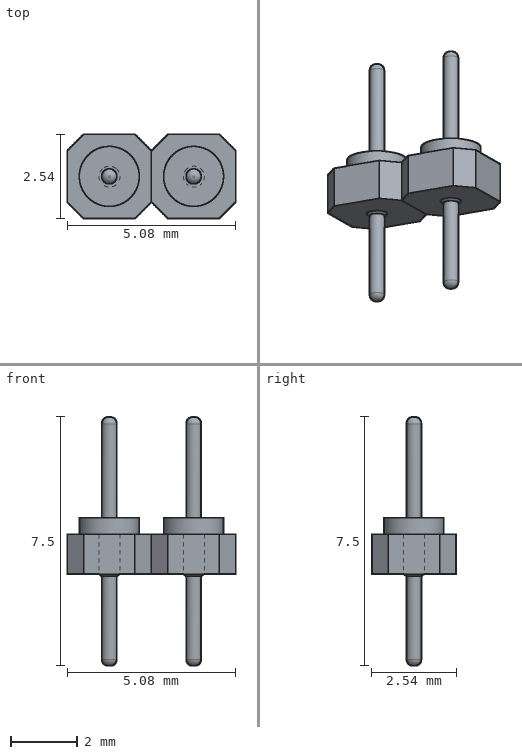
import cadquery as cq

contact_count = 2
overall_length = 5.08
pitch = overall_length / contact_count
block_height = 1.2
corner_cut = 0.495

pin_length = 7.5
pin_diameter = 0.46
tip_radius = 0.2
tail_length = 2.77
flange_diameter = 1.81
flange_height = 0.495
barrel_diameter = 0.63
taper_height = 0.07

block_bottom = tail_length
block_top = block_bottom + block_height


def cylinder(diameter, bottom, height):
    """Vertical cylinder on the Z axis."""
    return cq.Workplane("XY").workplane(offset=bottom).circle(diameter / 2).extrude(height)


def make_housing(x):
    """Square block with cut corners and a bore for the pin barrel."""
    block = (
        cq.Workplane("XY")
        .workplane(offset=block_bottom)
        .rect(pitch, pitch)
        .extrude(block_height)
        .edges("|Z")
        .chamfer(corner_cut)
    )
    bore = cylinder(barrel_diameter, block_bottom, block_height)
    return block.cut(bore).translate((x, 0, 0))


def make_pin(x):
    """Round-ended pin with a barrel, a taper below it and a flange above it."""
    shaft = cylinder(pin_diameter, 0, pin_length).faces("<Z or >Z").edges().fillet(tip_radius)
    barrel = cylinder(barrel_diameter, block_bottom, block_height)
    flange = cylinder(flange_diameter, block_top, flange_height)
    taper = cq.Workplane(
        cq.Solid.makeCone(
            pin_diameter / 2,
            barrel_diameter / 2,
            taper_height,
            pnt=cq.Vector(0, 0, block_bottom - taper_height),
        )
    )
    return shaft.union(taper).union(barrel).union(flange).translate((x, 0, 0))


bodies = []
for index in range(contact_count):
    contact_x = (index - (contact_count - 1) / 2) * pitch
    housing = make_housing(contact_x)
    pin = make_pin(contact_x)
    bodies.append(housing.val())
    bodies.append(pin.val())

result = cq.Compound.makeCompound(bodies)